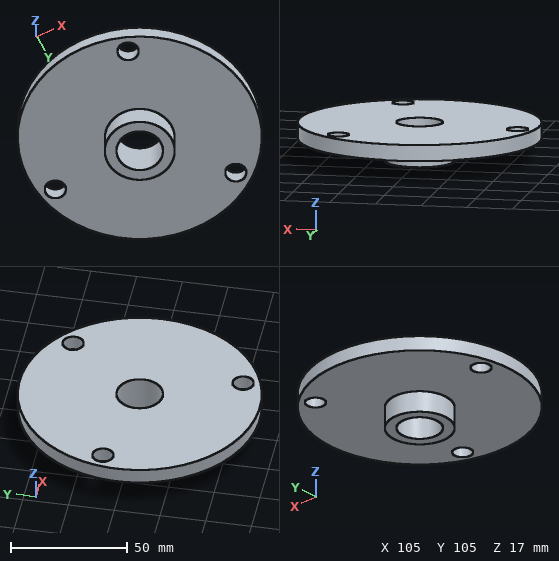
import cadquery as cq

flange_diameter = 105
flange_thickness = 7.0
hub_diameter = 30.0
hub_length = 10.0
bore_diameter = 20
bolt_hole_diameter = 9.0
bolt_circle_radius = 45.0
bolt_hole_count = 3
first_bolt_angle = 50

flange = cq.Workplane("XY").circle(flange_diameter / 2).extrude(flange_thickness)

hub = cq.Workplane("XY").circle(hub_diameter / 2).extrude(-hub_length)

bore = (
    cq.Workplane("XY")
    .workplane(offset=-hub_length)
    .circle(bore_diameter / 2)
    .extrude(hub_length + flange_thickness)
)

bolt_holes = (
    cq.Workplane("XY")
    .polarArray(bolt_circle_radius, first_bolt_angle, 360, bolt_hole_count)
    .circle(bolt_hole_diameter / 2)
    .extrude(flange_thickness)
)

result = flange.union(hub).cut(bore).cut(bolt_holes)